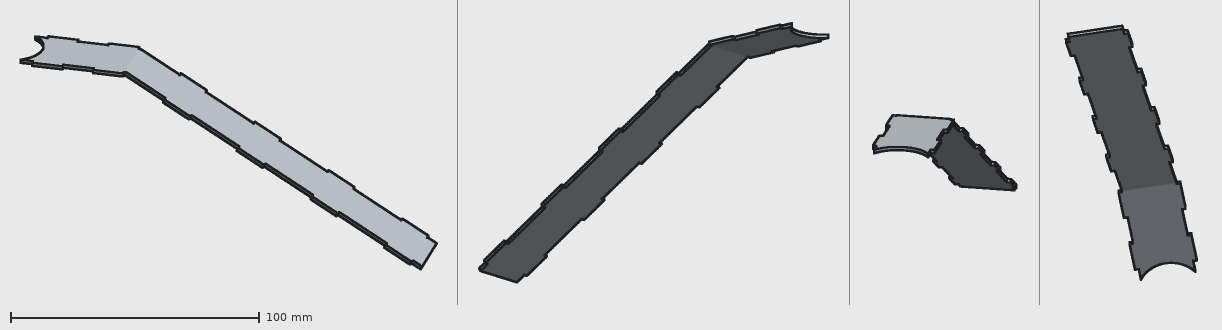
import cadquery as cq
import math

overall_length = 167.7
overall_width = 25.3
thickness = 1.5
tab_depth = 1.5
strip_width = overall_width - 2 * tab_depth
bend_angle = 30.0
bend_outer_radius = 3.0
bend_inner_radius = bend_outer_radius - thickness

flat_length = 43.1
tab_length = 12.5
flat_tab_starts = (5.2, flat_length - tab_length)
notch_radius = 13.2

bend_run = bend_outer_radius * math.sin(math.radians(bend_angle))
slope_length = (overall_length - flat_length - bend_run) / math.cos(math.radians(bend_angle))
slope_tab_count = 4
slope_tab_pitch = 35.5
slope_tail = 4.5
last_tab_start = slope_length - slope_tail - tab_length
first_tab_start = last_tab_start - (slope_tab_count - 1) * slope_tab_pitch
slope_tab_starts = [first_tab_start + i * slope_tab_pitch for i in range(slope_tab_count)]


def plate(start, length, width):
    """Flat plate centred on Y, with its top face at Z = 0."""
    corner = (start, -width / 2, -thickness)
    return cq.Workplane("XY").box(length, width, thickness, centered=False).translate(corner)


def tabbed_leg(length, tab_starts):
    """Strip starting at X = 0 with tabs standing out on both long edges."""
    leg = plate(0, length, strip_width)
    for start in tab_starts:
        leg = leg.union(plate(start, tab_length, overall_width))
    return leg


def tilted(body):
    """Turn a body down by the bend angle about the bend axis."""
    axis_start = (flat_length, 0, -bend_outer_radius)
    axis_end = (flat_length, 1, -bend_outer_radius)
    return body.rotate(axis_start, axis_end, bend_angle)


def bend_sector():
    """Rounded bend joining the two legs."""

    def on_arc(radius, angle):
        turn = math.radians(angle)
        return (flat_length + radius * math.sin(turn), radius * math.cos(turn) - bend_outer_radius)

    return (
        cq.Workplane("XZ")
        .moveTo(*on_arc(bend_inner_radius, 0))
        .lineTo(*on_arc(bend_outer_radius, 0))
        .threePointArc(on_arc(bend_outer_radius, bend_angle / 2), on_arc(bend_outer_radius, bend_angle))
        .lineTo(*on_arc(bend_inner_radius, bend_angle))
        .threePointArc(on_arc(bend_inner_radius, bend_angle / 2), on_arc(bend_inner_radius, 0))
        .close()
        .extrude(strip_width / 2, both=True)
    )


notch_center_x = -math.sqrt(notch_radius**2 - (strip_width / 2) ** 2)
notch = cq.Workplane("XY").center(notch_center_x, 0).circle(notch_radius).extrude(-thickness)

flat_leg = tabbed_leg(flat_length, flat_tab_starts).cut(notch)
slope_leg = tilted(tabbed_leg(slope_length, slope_tab_starts).translate((flat_length, 0, 0)))

result = flat_leg.union(bend_sector()).union(slope_leg)